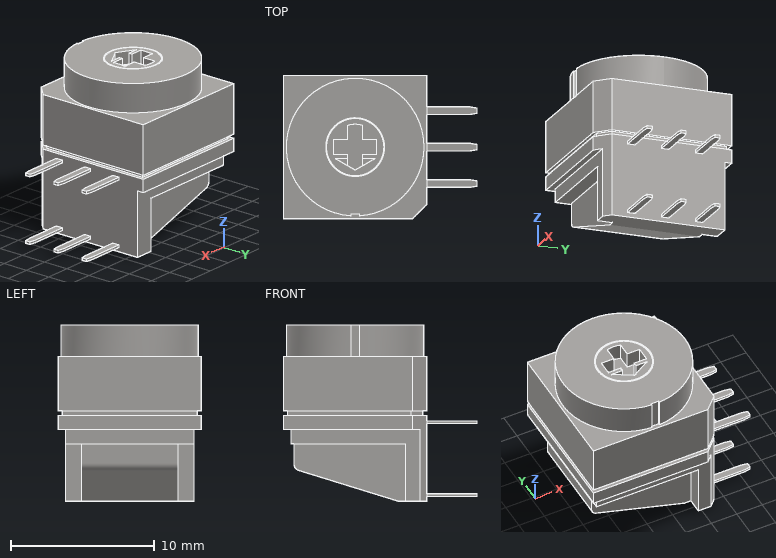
import cadquery as cq
import math

housing_side = 10.0
corner_chamfer = 1.0
half_side = housing_side / 2

leg_top = 4.0
step_top = 5.0
flange_top = 6.0
groove_top = 6.3
housing_top = 10.1
overall_height = 12.3
groove_depth = 0.28

step_width = 8.98
step_left = -step_width / 2
plate_thickness = corner_chamfer - (housing_side - step_width) / 2
plate_left = half_side - plate_thickness
leg_thickness = 1.0
core_width = 6.72
core_left = -4.28
core_bottom_left = 3.0
core_slope_height = 2.25
core_edge_radius = 0.5

knob_diameter = 9.6
notch_width = 0.6
notch_depth = 0.12

rotor_diameter = 4.0
rotor_hole_diameter = 4.1
ring_gap_depth = 0.1

slot_width = 1.05
slot_length = 3.0
recess_radius = 1.6
recess_depth = 1.28
arrow_depth = 1.0
arrow_corner_angle = math.radians(30)
arrow_base_y = -recess_radius * math.sin(arrow_corner_angle)
arrow_half_width = recess_radius * math.cos(arrow_corner_angle)

pin_pitch = 2.54
pin_columns = (-1, 0, 1)
pin_width = 0.55
pin_tip_width = 0.38
pin_thickness = 0.2
pin_tip_x = 8.5
pin_taper_length = 0.5
lower_pin_z = 0.43
upper_pin_z = lower_pin_z + 2 * pin_pitch


def box(x_min, x_max, y_min, y_max, z_min, z_max):
    """Axis-aligned box given by its limits."""
    size = (x_max - x_min, y_max - y_min, z_max - z_min)
    return cq.Workplane("XY").box(*size, centered=False).translate((x_min, y_min, z_min))


def housing_slab(z_min, z_max, inset=0.0):
    """Layer of the housing outline, optionally set in on all sides."""
    outline = cq.Workplane("XY", origin=(0, 0, z_min)).polyline([
        (-half_side, -half_side),
        (half_side - corner_chamfer, -half_side),
        (half_side, -half_side + corner_chamfer),
        (half_side, half_side),
        (-half_side, half_side),
    ]).close()
    if inset:
        outline = outline.offset2D(-inset)
    return outline.extrude(z_max - z_min)


def make_housing():
    """Upper housing and flange with a parting groove between them."""
    flange = housing_slab(step_top, flange_top)
    neck = housing_slab(flange_top, groove_top, groove_depth)
    upper = housing_slab(groove_top, housing_top)
    return flange.union(neck).union(upper)


def make_core():
    """Block between the legs, with a sloped underside and a rounded lower edge."""
    profile = cq.Workplane("XZ").polyline([
        (core_left, step_top),
        (core_left, core_slope_height),
        (core_bottom_left, 0),
        (plate_left, 0),
        (plate_left, step_top),
    ]).close()
    core = profile.extrude(core_width / 2, both=True)
    lower_edge = cq.selectors.NearestToPointSelector((core_left, 0, core_slope_height))
    return core.edges("|Y").edges(lower_edge).fillet(core_edge_radius)


def make_lower_body():
    """Step, legs, core and terminal plate below the flange."""
    half_width = step_width / 2
    step = box(step_left, plate_left, -half_width, half_width, leg_top, step_top)
    legs = box(plate_left - leg_thickness, plate_left, -half_width, half_width, 0, leg_top)
    plate = box(plate_left, half_side, -half_width, half_width, 0, step_top)
    plate = plate.intersect(housing_slab(0, step_top))
    return step.union(legs).union(make_core()).union(plate)


def make_knob():
    """Knob disc with an index notch along its -Y side."""
    radius = knob_diameter / 2
    knob = cq.Workplane("XY", origin=(0, 0, housing_top)).circle(radius)
    knob = knob.extrude(overall_height - housing_top)
    notch = box(-notch_width / 2, notch_width / 2, -half_side, -radius + notch_depth,
                housing_top, overall_height)
    return knob.cut(notch)


def make_ring_gap():
    """Narrow annular gap around the rotor."""
    ring = cq.Workplane("XY", origin=(0, 0, overall_height))
    ring = ring.circle(rotor_hole_diameter / 2).circle(rotor_diameter / 2)
    return ring.extrude(-ring_gap_depth)


def make_arrow(depth):
    """Arrowhead pocket pointing to -Y, with all three corners on the recess circle."""
    arrow = cq.Workplane("XY", origin=(0, 0, overall_height)).polyline([
        (-arrow_half_width, arrow_base_y),
        (0, -recess_radius),
        (arrow_half_width, arrow_base_y),
    ]).close()
    return arrow.extrude(-depth)


def make_recess():
    """Cross slot with a round +Y end and an arrowhead at its -Y end."""
    floor_z = overall_height - recess_depth
    half_slot = slot_width / 2
    cross_arm = box(-slot_length / 2, slot_length / 2, -half_slot, half_slot,
                    floor_z, overall_height)

    round_end = cq.Workplane("XY", origin=(0, 0, floor_z)).circle(recess_radius)
    round_end = round_end.extrude(recess_depth)
    rounded_slot = box(-half_slot, half_slot, arrow_base_y, recess_radius,
                       floor_z, overall_height).intersect(round_end)
    pointed_end = box(-half_slot, half_slot, -recess_radius, arrow_base_y,
                      floor_z, overall_height).intersect(make_arrow(recess_depth))
    return cross_arm.union(rounded_slot).union(pointed_end).union(make_arrow(arrow_depth))


def make_pin(y, z):
    """Flat terminal pin with a tapered tip, pointing along +X."""
    taper_x = pin_tip_x - pin_taper_length
    pin = cq.Workplane("XY", origin=(0, y, z - pin_thickness / 2)).polyline([
        (plate_left, -pin_width / 2),
        (taper_x, -pin_width / 2),
        (pin_tip_x, -pin_tip_width / 2),
        (pin_tip_x, pin_tip_width / 2),
        (taper_x, pin_width / 2),
        (plate_left, pin_width / 2),
    ]).close()
    return pin.extrude(pin_thickness)


body = make_housing().union(make_lower_body()).union(make_knob())
body = body.cut(make_ring_gap()).cut(make_recess())
for pin_z in (lower_pin_z, upper_pin_z):
    for column in pin_columns:
        body = body.union(make_pin(column * pin_pitch, pin_z))

result = body